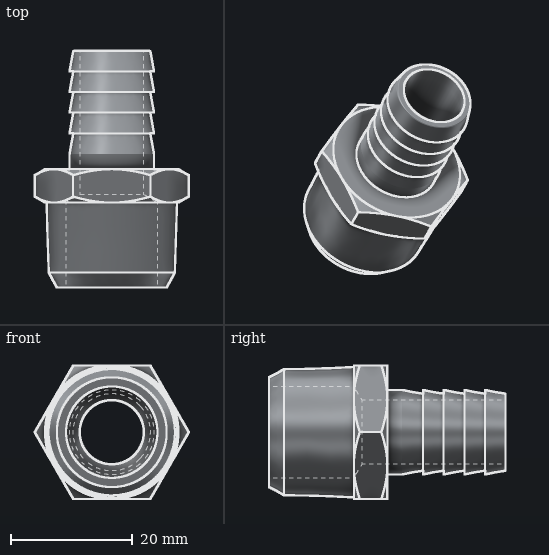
import cadquery as cq
import math

total_length = 39.0

thread_length = 14.0
thread_root_radius = 10.75
thread_taper = 1 / 32
lead_chamfer_length = 2.5
lead_face_radius = 9.05

hex_length = 5.5
hex_across_flats = 22.0
hex_chamfer_angle = 30.0

barb_count = 5
collar_length = 2.5
barb_crest_radius = 7.0
barb_root_radius = 6.35
tip_fillet = 0.3

thread_bore_radius = 7.53
tail_bore_radius = 5.25
thread_bore_depth = 14.0
bore_cone_angle = 59.0

hex_end = thread_length + hex_length
collar_end = hex_end + collar_length
barb_pitch = (total_length - collar_end) / barb_count
thread_front_radius = thread_root_radius - thread_taper * (thread_length - lead_chamfer_length)


def revolve_profile(points):
    """Turn a closed (radius, Y) outline around the Y axis."""
    return cq.Workplane("XY").polyline(points).close().revolve(360, (0, 0, 0), (0, 1, 0))


def make_thread_body():
    return revolve_profile([
        (0, 0),
        (lead_face_radius, 0),
        (thread_front_radius, lead_chamfer_length),
        (thread_root_radius, thread_length),
        (0, thread_length),
    ])


def make_hexagon():
    """Hexagon with corners on +X and -X, both end faces chamfered at the corners."""
    flat_radius = hex_across_flats / 2
    corner_radius = flat_radius / math.cos(math.pi / 6)
    corner_drop = (corner_radius - flat_radius) * math.tan(math.radians(hex_chamfer_angle))
    prism = (
        cq.Workplane("XZ", origin=(0, hex_end, 0))
        .polygon(6, 2 * corner_radius)
        .extrude(hex_length)
    )
    envelope = revolve_profile([
        (0, thread_length),
        (flat_radius, thread_length),
        (corner_radius, thread_length + corner_drop),
        (corner_radius, hex_end - corner_drop),
        (flat_radius, hex_end),
        (0, hex_end),
    ])
    return prism.intersect(envelope)


def make_hose_tail():
    """Plain collar followed by barbs that narrow toward the open end."""
    points = [(0, hex_end), (barb_crest_radius, hex_end)]
    for index in range(barb_count):
        barb_start = collar_end + index * barb_pitch
        points.append((barb_crest_radius, barb_start))
        points.append((barb_root_radius, barb_start + barb_pitch))
    points.append((0, total_length))
    return revolve_profile(points).faces(">Y").edges().fillet(tip_fillet)


def make_bore():
    """Wide bore from the threaded end, a drill-point cone, then the tail bore."""
    cone_length = (thread_bore_radius - tail_bore_radius) / math.tan(math.radians(bore_cone_angle))
    return revolve_profile([
        (0, 0),
        (thread_bore_radius, 0),
        (thread_bore_radius, thread_bore_depth),
        (tail_bore_radius, thread_bore_depth + cone_length),
        (tail_bore_radius, total_length),
        (0, total_length),
    ])


result = make_thread_body().union(make_hexagon()).union(make_hose_tail()).cut(make_bore())